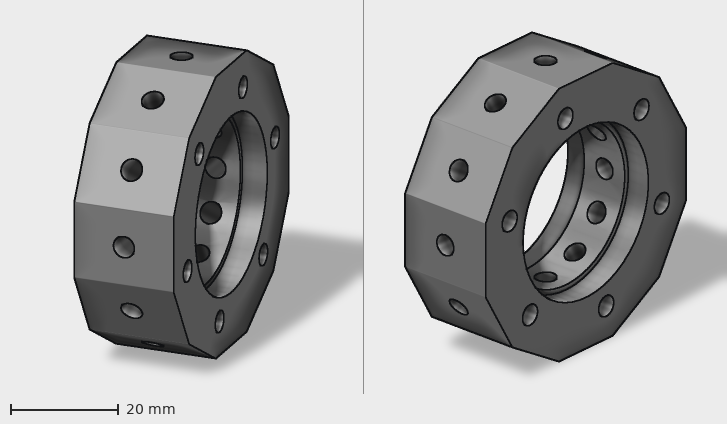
import cadquery as cq
import math

side_count = 12
across_flats = 56.0
ring_width = 20.0
corner_radius = 0.5

bore_diameter = 33.0
counterbore_diameter = 35.0
counterbore_depth = 5.0

hole_diameter = 4.2
axial_hole_count = 6
axial_hole_circle_radius = 22.0

side_angle = 360.0 / side_count
half_side_angle = side_angle / 2
across_corners = across_flats / math.cos(math.radians(half_side_angle))


def axial_cylinder(diameter, x_start, length):
    """Cylinder on the ring axis, running toward +X from x_start."""
    return cq.Workplane("YZ", origin=(x_start, 0, 0)).circle(diameter / 2).extrude(length)


def make_body():
    """Prism with flats facing Y and Z, and slightly rounded corners."""
    return (
        cq.Workplane("YZ")
        .transformed(rotate=(0, 0, half_side_angle))
        .polygon(side_count, across_corners)
        .extrude(ring_width / 2, both=True)
        .edges("|X")
        .fillet(corner_radius)
    )


def make_stepped_bore():
    """Through bore with an equal counterbore at each end."""
    x_min = -ring_width / 2
    x_max = ring_width / 2
    bore = axial_cylinder(bore_diameter, x_min, ring_width)
    near_counterbore = axial_cylinder(counterbore_diameter, x_min, counterbore_depth)
    far_counterbore = axial_cylinder(counterbore_diameter, x_max - counterbore_depth, counterbore_depth)
    return bore.union(near_counterbore).union(far_counterbore)


def make_axial_holes():
    """Through holes parallel to the axis, the first in line with a corner."""
    return (
        cq.Workplane("YZ")
        .polarArray(axial_hole_circle_radius, half_side_angle, 360, axial_hole_count)
        .circle(hole_diameter / 2)
        .extrude(ring_width / 2, both=True)
    )


def cut_radial_holes(body):
    """One hole through the middle of every flat; each drill crosses two opposite flats."""
    drill = cq.Workplane("XY").circle(hole_diameter / 2).extrude(across_flats / 2, both=True)
    for index in range(side_count // 2):
        body = body.cut(drill.rotate((0, 0, 0), (1, 0, 0), index * side_angle))
    return body


ring = make_body().cut(make_stepped_bore()).cut(make_axial_holes())
result = cut_radial_holes(ring)